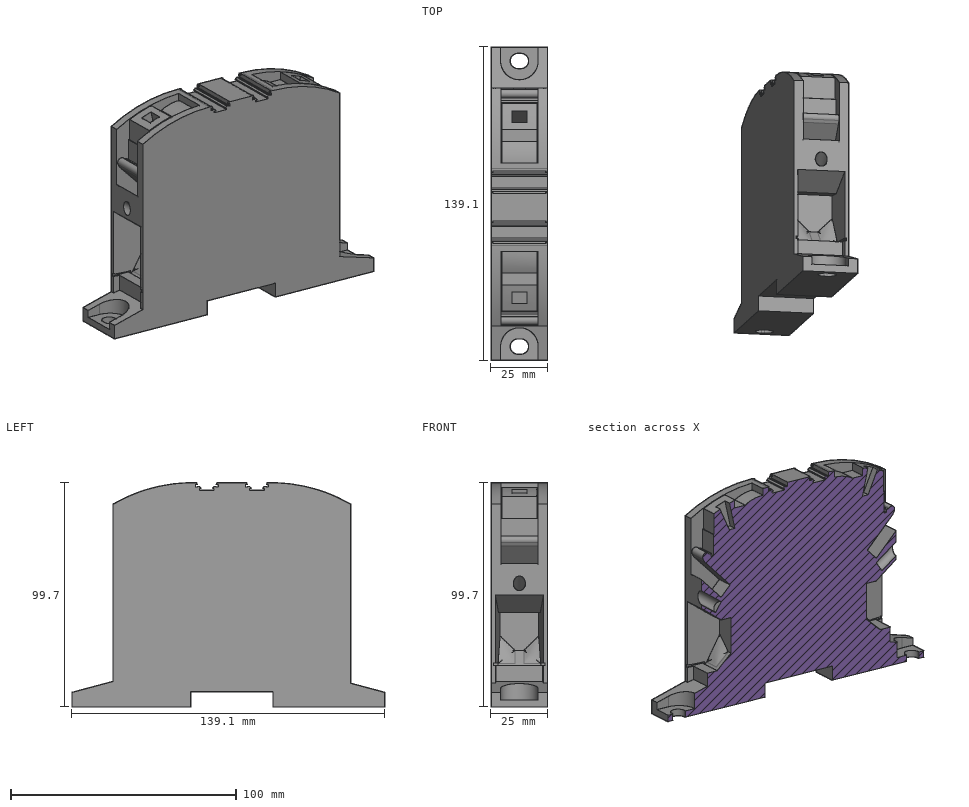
import cadquery as cq
import math


WIDTH = 25.0
LENGTH = 139.1
HEIGHT = 99.7
HOUSING_HALF = 52.9
HOUSING_SHIFT = -1.5
SHOULDER_HEIGHT = 90.1
CROWN_HALF = 17.1
MARGIN = 7.0

FOOT_END_HEIGHT = 6.5
FOOT_SLOPE = math.radians(15)
FOOT_RECESS_RADIUS = 8.3
FOOT_RECESS_FLOOR = 3.2
FOOT_RECESS_CLEARANCE = 13.9
FOOT_HOLE_INSET = 6.1
FOOT_HOLE_LENGTH = 8.0
FOOT_HOLE_WIDTH = 6.7

RAIL_HALF = 18.2
RAIL_DEPTH = 6.7

GROOVE_SPACING = 22.3
GROOVE_DEPTH = 3.3
GROOVE_FLOOR_HALF = 3.2
GROOVE_NECK_HALF = 2.5
GROOVE_LEDGE_HALF = 3.3
GROOVE_LIP_HALF = 4.2
GROOVE_RIM_HALF = 4.6
GROOVE_SLOT_HALF = 5.0
GROOVE_SIDE_RISE = 0.5
GROOVE_NECK_RISE = 0.8
GROOVE_LEDGE_RISE = 1.7
GROOVE_SLOT_RISE = 1.4
GROOVE_LIP_RISE = 2.4
GROOVE_END_WALL = 0.8

WINDOW_HALF_WIDTH = 8.2
WINDOW_START = 19.6
WINDOW_SILL = 63.7
LEVER_HALF_WIDTH = 7.8
LEVER_BASE = 83.7
LEVER_FRONT = 46.2
DISH_HEIGHT = 96.5
DISH_END = 29.2
DISH_FLOOR = 93.9
BLOCK_START = 34.6
TOOL_HOLE_LENGTH = 6.7
TOOL_HOLE_INNER = 37.5
TOOL_HOLE_OUTER = 43.1
TOOL_HOLE_MOUTH = 96.0
TOOL_HOLE_DEPTH = 11.8
TOOL_HOLE_INNER_TILT = math.radians(13)
TOOL_HOLE_OUTER_TILT = math.radians(25)
CLAMP_FRONT = 46.5
CLAMP_GAP_END = 47.5
CLAMP_GAP_DEPTH = 1.4
CLAMP_LEDGE_END = 48.5

BAR_REACH = 50.4
BAR_HEIGHT = 74.0
BAR_RADIUS = 2.0
BAR_INNER_ANGLE = math.radians(135)
BAR_OUTER_ANGLE = math.radians(45)
BAR_LOWER_ANGLE = math.radians(-30)
BAR_BOTTOM = 71.6
ENTRY_RUN = 10.7

TEST_HOLE_DIAMETER = 5.3
TEST_HOLE_HEIGHT = 55.0
TEST_HOLE_TILT = math.radians(35)
TEST_HOLE_DEPTH = 11.1

FUNNEL_HALF_WIDTH = 10.7
FUNNEL_TAPER = math.radians(7.6)
FUNNEL_TOP = 49.8
FUNNEL_CEILING_END = 42.0
FUNNEL_CEILING_SLOPE = math.radians(36)
FUNNEL_BACK = 36.9
STEP_FRONT = 49.8
STEP_HEIGHT = 18.5
RAMP_START = 44.4
RAMP_TOP = 25.2
CHEEK_START = 43.4
CHEEK_TOP = 31.6
CHANNEL_HALF_WIDTH = 2.0
PLATE_SLOT_HALF_WIDTH = 11.4
PLATE_SLOT_HEIGHT = 1.1

FOOT_ENDS = {
    -1: LENGTH / 2 + HOUSING_SHIFT,
    1: LENGTH / 2 - HOUSING_SHIFT,
}


def foot_height(side, reach):
    """Height of the sloping foot surface at a reach on one side of the housing."""
    return FOOT_END_HEIGHT + (FOOT_ENDS[side] - reach) * math.tan(FOOT_SLOPE)


def wire_side_plane():
    """Plane whose local axes are reach (towards -Y) and height."""
    return cq.Workplane(cq.Plane(origin=(0, 0, 0), xDir=(0, -1, 0), normal=(-1, 0, 0)))


def wire_side_prism(points, half_width):
    """Prism across X from a closed reach/height outline."""
    return wire_side_plane().polyline(points).close().extrude(half_width, both=True)


def make_outline():
    """Side outline with feet, rail slot and arched shoulders."""
    run = HOUSING_HALF - CROWN_HALF
    drop = HEIGHT - SHOULDER_HEIGHT
    arch_radius = (run**2 + drop**2) / (2 * drop)
    middle_angle = math.asin(run / arch_radius) / 2
    arch_mid = CROWN_HALF + arch_radius * math.sin(middle_angle)
    arch_mid_height = HEIGHT - arch_radius * (1 - math.cos(middle_angle))
    return (
        cq.Workplane("YZ")
        .moveTo(-FOOT_ENDS[-1], 0)
        .lineTo(-RAIL_HALF, 0)
        .lineTo(-RAIL_HALF, RAIL_DEPTH)
        .lineTo(RAIL_HALF, RAIL_DEPTH)
        .lineTo(RAIL_HALF, 0)
        .lineTo(FOOT_ENDS[1], 0)
        .lineTo(FOOT_ENDS[1], FOOT_END_HEIGHT)
        .lineTo(HOUSING_HALF, foot_height(1, HOUSING_HALF))
        .lineTo(HOUSING_HALF, SHOULDER_HEIGHT)
        .threePointArc((arch_mid, arch_mid_height), (CROWN_HALF, HEIGHT))
        .lineTo(-CROWN_HALF, HEIGHT)
        .threePointArc((-arch_mid, arch_mid_height), (-HOUSING_HALF, SHOULDER_HEIGHT))
        .lineTo(-HOUSING_HALF, foot_height(-1, HOUSING_HALF))
        .lineTo(-FOOT_ENDS[-1], FOOT_END_HEIGHT)
        .close()
        .extrude(WIDTH / 2, both=True)
    )


def make_foot_cut(side):
    """Round-ended screw recess, open at the foot end, with an oblong through hole."""
    hole_y = side * (FOOT_ENDS[side] - FOOT_HOLE_INSET)
    recess = cq.Workplane("XY", origin=(0, hole_y, FOOT_RECESS_FLOOR)).circle(FOOT_RECESS_RADIUS)
    recess = recess.extrude(FOOT_RECESS_CLEARANCE)
    open_end = (
        cq.Workplane("XY", origin=(0, hole_y + side * MARGIN, FOOT_RECESS_FLOOR))
        .rect(2 * FOOT_RECESS_RADIUS, 2 * MARGIN)
        .extrude(FOOT_RECESS_CLEARANCE)
    )
    hole = (
        cq.Workplane("XY", origin=(0, hole_y, 0))
        .slot2D(FOOT_HOLE_LENGTH, FOOT_HOLE_WIDTH)
        .extrude(FOOT_END_HEIGHT)
    )
    return recess.union(open_end).union(hole)


def make_groove(center):
    """Necked marker groove with an undercut slot along each rim."""
    half_profile = [
        (GROOVE_FLOOR_HALF, 0),
        (GROOVE_FLOOR_HALF, GROOVE_SIDE_RISE),
        (GROOVE_NECK_HALF, GROOVE_NECK_RISE),
        (GROOVE_LEDGE_HALF, GROOVE_LEDGE_RISE),
        (GROOVE_LIP_HALF, GROOVE_LEDGE_RISE),
        (GROOVE_LIP_HALF, GROOVE_SLOT_RISE),
        (GROOVE_SLOT_HALF, GROOVE_SLOT_RISE),
        (GROOVE_SLOT_HALF, GROOVE_LIP_RISE),
        (GROOVE_LIP_HALF, GROOVE_LIP_RISE),
        (GROOVE_RIM_HALF, GROOVE_DEPTH),
    ]
    profile = half_profile + [(-y, z) for y, z in reversed(half_profile)]
    floor = (0, center, HEIGHT - GROOVE_DEPTH)
    groove = cq.Workplane("YZ", origin=floor).polyline(profile).close().extrude(WIDTH / 2, both=True)
    slot_middle = (GROOVE_LIP_HALF + GROOVE_SLOT_HALF) / 2
    opened_rims = (
        cq.Workplane("XY", origin=floor)
        .workplane(offset=GROOVE_SLOT_RISE)
        .pushPoints([(0, -slot_middle), (0, slot_middle)])
        .rect(WIDTH - 2 * GROOVE_END_WALL, GROOVE_SLOT_HALF - GROOVE_LIP_HALF)
        .extrude(GROOVE_DEPTH)
    )
    return groove.union(opened_rims)


def make_lever_recess():
    """Recess in the crown that surrounds the lever."""
    top = HEIGHT + MARGIN
    points = [
        (WINDOW_START, LEVER_BASE),
        (LEVER_FRONT, LEVER_BASE),
        (LEVER_FRONT, top),
        (WINDOW_START, top),
    ]
    return wire_side_prism(points, WINDOW_HALF_WIDTH)


def make_tool_hole():
    """Rectangular blind hole whose two sloping walls close in as they fall inwards."""
    bottom = TOOL_HOLE_MOUTH - TOOL_HOLE_DEPTH
    points = []
    for reach, tilt, heights in (
        (TOOL_HOLE_INNER, TOOL_HOLE_INNER_TILT, (HEIGHT, bottom)),
        (TOOL_HOLE_OUTER, TOOL_HOLE_OUTER_TILT, (bottom, HEIGHT)),
    ):
        for height in heights:
            points.append((reach + (height - TOOL_HOLE_MOUTH) * math.tan(tilt), height))
    return wire_side_prism(points, TOOL_HOLE_LENGTH / 2)


def make_lever(outline):
    """Lever with a dished inner part and a block, flush with the arch, holding a tool hole."""
    drop = DISH_HEIGHT - DISH_FLOOR
    run = DISH_END - WINDOW_START
    dish_radius = (run**2 + drop**2) / (2 * drop)
    middle_angle = math.asin(run / dish_radius) / 2
    dish_mid = (
        WINDOW_START + dish_radius * math.sin(middle_angle),
        DISH_HEIGHT - dish_radius * (1 - math.cos(middle_angle)),
    )
    lever = (
        wire_side_plane()
        .moveTo(WINDOW_START, LEVER_BASE)
        .lineTo(WINDOW_START, DISH_HEIGHT)
        .threePointArc(dish_mid, (DISH_END, DISH_FLOOR))
        .lineTo(BLOCK_START, DISH_FLOOR)
        .lineTo(BLOCK_START, HEIGHT)
        .lineTo(LEVER_FRONT, HEIGHT)
        .lineTo(LEVER_FRONT, LEVER_BASE)
        .close()
        .extrude(LEVER_HALF_WIDTH, both=True)
        .intersect(outline)
    )
    return lever.cut(make_tool_hole())


def bar_point(angle):
    """Point on the clamp bar; the angle rises from the outward direction."""
    return (
        BAR_REACH + BAR_RADIUS * math.cos(angle),
        BAR_HEIGHT + BAR_RADIUS * math.sin(angle),
    )


def make_window():
    """Opening in front of the clamp: plain above the bar, a sloping wire entry below it."""
    outside = HOUSING_HALF + MARGIN
    bar_start = bar_point(BAR_INNER_ANGLE)
    bar_end = bar_point(BAR_LOWER_ANGLE)
    clamp_ledge = bar_start[1] - (bar_start[0] - CLAMP_LEDGE_END)
    entry_top = (
        bar_end[0] + (bar_end[1] - BAR_BOTTOM) * math.tan(BAR_LOWER_ANGLE),
        BAR_BOTTOM,
    )
    entry_floor_end = (HOUSING_HALF - ENTRY_RUN, WINDOW_SILL - ENTRY_RUN)
    end_rise = (entry_top[1] - entry_top[0] - entry_floor_end[1] + entry_floor_end[0]) / 2
    entry_roof_end = (entry_floor_end[0] - end_rise, entry_floor_end[1] + end_rise)
    return (
        wire_side_plane()
        .moveTo(LEVER_FRONT, HEIGHT)
        .lineTo(LEVER_FRONT, LEVER_BASE)
        .lineTo(CLAMP_FRONT, LEVER_BASE)
        .lineTo(CLAMP_FRONT, clamp_ledge - CLAMP_GAP_DEPTH)
        .lineTo(CLAMP_GAP_END, clamp_ledge - CLAMP_GAP_DEPTH)
        .lineTo(CLAMP_GAP_END, clamp_ledge)
        .lineTo(CLAMP_LEDGE_END, clamp_ledge)
        .lineTo(*bar_start)
        .threePointArc(bar_point(BAR_OUTER_ANGLE), bar_end)
        .lineTo(*entry_top)
        .lineTo(*entry_roof_end)
        .lineTo(*entry_floor_end)
        .lineTo(HOUSING_HALF, WINDOW_SILL)
        .lineTo(outside, WINDOW_SILL)
        .lineTo(outside, HEIGHT)
        .close()
        .extrude(WINDOW_HALF_WIDTH, both=True)
    )


def make_test_hole():
    """Round blind hole falling inwards."""
    inward = cq.Vector(0, math.cos(TEST_HOLE_TILT), -math.sin(TEST_HOLE_TILT))
    mouth = cq.Vector(0, -HOUSING_HALF, TEST_HOLE_HEIGHT)
    start = mouth - inward * TEST_HOLE_DIAMETER
    hole = cq.Solid.makeCylinder(
        TEST_HOLE_DIAMETER / 2, TEST_HOLE_DEPTH + TEST_HOLE_DIAMETER, start, inward
    )
    return cq.Workplane(hole)


def funnel_half_width(reach):
    """Half width between the tapering funnel walls."""
    return FUNNEL_HALF_WIDTH - (HOUSING_HALF - reach) * math.tan(FUNNEL_TAPER)


def make_cheek(side_x):
    """Wedge with a twisted top that raises the funnel floor from the channel up to one wall."""
    ramp_slope = (RAMP_TOP - STEP_HEIGHT) / (RAMP_START - FUNNEL_BACK)
    start_height = STEP_HEIGHT + (RAMP_START - CHEEK_START) * ramp_slope
    inner_x = side_x * CHANNEL_HALF_WIDTH
    channel_start = cq.Vector(inner_x, -CHEEK_START, start_height)
    channel_back = cq.Vector(inner_x, -FUNNEL_BACK, RAMP_TOP)
    wall_start = cq.Vector(side_x * funnel_half_width(CHEEK_START), -CHEEK_START, start_height)
    wall_back = cq.Vector(side_x * funnel_half_width(FUNNEL_BACK), -FUNNEL_BACK, CHEEK_TOP)
    twisted_top = cq.Face.makeRuledSurface(
        cq.Edge.makeLine(channel_start, channel_back),
        cq.Edge.makeLine(wall_start, wall_back),
    )
    underside = [channel_start, wall_start, channel_back]
    back = [wall_start, wall_back, channel_back]
    faces = [twisted_top]
    for triangle in (underside, back):
        faces.append(cq.Face.makeFromWires(cq.Wire.makePolygon(triangle, close=True)))
    return cq.Workplane(cq.Solid.makeSolid(cq.Shell.makeShell(faces)))


def make_funnel(side):
    """Tapering wire funnel above a step, with a ramped floor and seats for a thin plate."""
    outside = HOUSING_HALF + MARGIN
    ceiling_drop = (HOUSING_HALF - FUNNEL_CEILING_END) * math.tan(FUNNEL_CEILING_SLOPE)
    ceiling_end_height = FUNNEL_TOP - ceiling_drop
    side_profile = wire_side_prism(
        [
            (outside, foot_height(side, outside)),
            (STEP_FRONT, foot_height(side, STEP_FRONT)),
            (STEP_FRONT, STEP_HEIGHT),
            (RAMP_START, STEP_HEIGHT),
            (FUNNEL_BACK, RAMP_TOP),
            (FUNNEL_BACK, ceiling_end_height),
            (FUNNEL_CEILING_END, ceiling_end_height),
            (HOUSING_HALF, FUNNEL_TOP),
            (outside, FUNNEL_TOP),
        ],
        WIDTH / 2,
    )
    back_half = funnel_half_width(FUNNEL_BACK)
    plan = (
        cq.Workplane("XY")
        .polyline(
            [
                (-back_half, -FUNNEL_BACK),
                (back_half, -FUNNEL_BACK),
                (FUNNEL_HALF_WIDTH, -HOUSING_HALF),
                (FUNNEL_HALF_WIDTH, -outside),
                (-FUNNEL_HALF_WIDTH, -outside),
                (-FUNNEL_HALF_WIDTH, -HOUSING_HALF),
            ]
        )
        .close()
        .extrude(HEIGHT)
    )
    plate_slot = wire_side_prism(
        [
            (RAMP_START, STEP_HEIGHT),
            (outside, STEP_HEIGHT),
            (outside, STEP_HEIGHT + PLATE_SLOT_HEIGHT),
            (RAMP_START, STEP_HEIGHT + PLATE_SLOT_HEIGHT),
        ],
        PLATE_SLOT_HALF_WIDTH,
    )
    funnel = side_profile.intersect(plan)
    for side_x in (-1, 1):
        funnel = funnel.cut(make_cheek(side_x))
    return funnel.union(plate_slot)


def placed(feature, side):
    """Feature made for the -Y side, mirrored when it belongs on the +Y side."""
    return feature if side < 0 else feature.mirror("XZ")


outline = make_outline()
housing = outline
for side in (-1, 1):
    housing = housing.cut(make_foot_cut(side))
    housing = housing.cut(make_groove(side * GROOVE_SPACING / 2))
    housing = housing.cut(placed(make_lever_recess(), side))
    housing = housing.cut(placed(make_window(), side))
    housing = housing.cut(placed(make_test_hole(), side))
    housing = housing.cut(placed(make_funnel(side), side))
    housing = housing.union(placed(make_lever(outline), side))

result = housing.translate((0, HOUSING_SHIFT, 0))